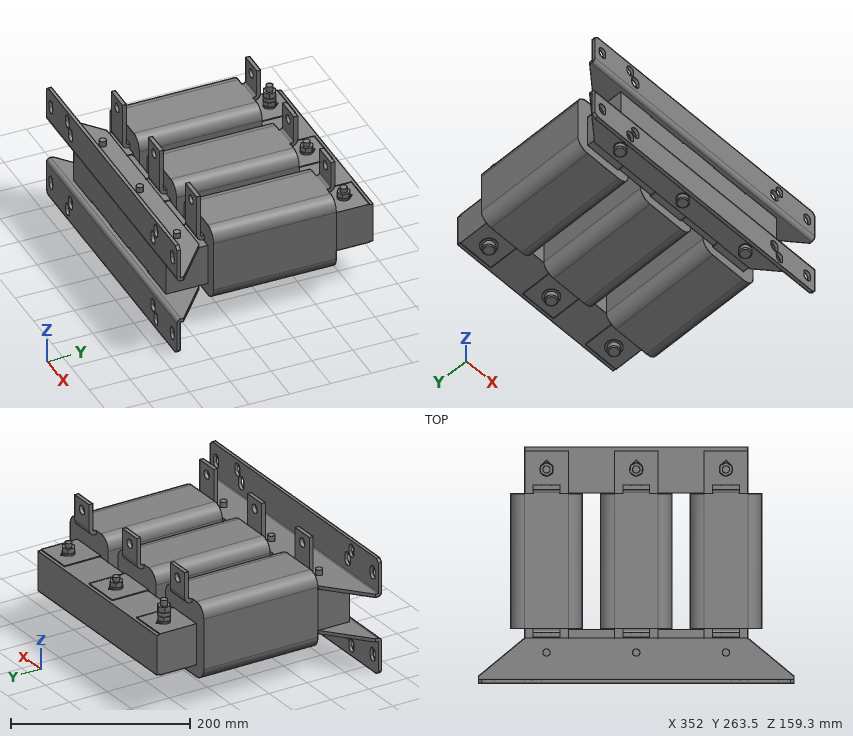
import cadquery as cq
import math


leg_pitch = 100.0
leg_width = 49.0
core_width = 2 * leg_pitch + leg_width
core_height = 49.3
core_front = 10.0
core_back = 263.5
window_front = 60.2
window_back = 212.3
leg_positions = (-leg_pitch, 0, leg_pitch)

strip_thickness = 1.0
strip_back = 259.5
clamp_height = core_height / 2 + strip_thickness

coil_front = 61.2
coil_back = 211.5
coil_width = 80.0
coil_radius = (coil_width - leg_width) / 2
coil_top = 53.0
coil_bottom = -40.5

terminal_width = 30.0
terminal_thickness = 5.0
terminal_bend = 3.0
terminal_top = 87.5
terminal_front = 51.7
terminal_back = 221.0
front_tail_bottom = 27.8
terminal_hole_diameter = 11.0
terminal_hole_drop = 12.5

bracket_length = 352
bracket_thickness = 4.2
bracket_bend = 1.0
bracket_reach = 50.7
bracket_end = 71.8
taper_front = 8.0
flange_chamfer = 4.2
flange_slots = (
    (163.7, 51.0, 10.0, 16.2),
    (119.5, 59.0, 10.0, 15.5),
    (111.2, 45.8, 11.0, 16.2),
)

rod_diameter = 8.0
front_bolt_y = 34.5
front_rod_top = 36.5
back_bolt_y = 238.5
long_rod_top = coil_top
short_rod_top = 39.5
head_diameter = 15.5
head_height = 8.0
head_washer_diameter = 13.5
head_washer_thickness = 1.8
head_chamfer = 1.5
back_washer_diameter = 20.8
back_washer_thickness = 1.0

washer_diameter = 14.8
nut_across_corners = 15.5
tab_thickness = 0.5
lower_nut_bottom = 2.5
lower_nut_top = 8.5
upper_nut_bottom = 13.5
upper_nut_top = 20.5
lower_nut_turn = 25
upper_nut_turn = 35


def block(width, y_front, y_back, z_bottom, z_top, x=0):
    """Box centred on x and given by its limits along Y and Z."""
    size = (width, y_back - y_front, z_top - z_bottom)
    corner = (x - width / 2, y_front, z_bottom)
    return cq.Workplane("XY").box(*size, centered=False).translate(corner)


def disc(x, y, diameter, z_bottom, z_top):
    """Upright cylinder between two heights."""
    plane = cq.Workplane("XY", origin=(x, y, z_bottom))
    return plane.circle(diameter / 2).extrude(z_top - z_bottom)


def hex_nut(x, y, z_bottom, z_top, turn):
    """Hexagonal nut, turned about its axis by an angle in degrees."""
    plane = cq.Workplane("XY", origin=(x, y, z_bottom))
    nut = plane.polygon(6, nut_across_corners).extrude(z_top - z_bottom)
    return nut.rotate((x, y, 0), (x, y, 1), turn)


def angle_bar(width, tail_y, outer_y, tail_z, end_z, thickness, inner_radius, x=0):
    """Bent bar: a tail along Y from tail_y, turned up or down at outer_y to end_z.

    tail_z is the outer face of the tail, outer_y the outer face of the upright.
    """
    along = math.copysign(1, tail_y - outer_y)
    up = math.copysign(1, end_z - tail_z)
    outer = inner_radius + thickness
    arc = math.sqrt(0.5)
    bend_y = outer_y + along * outer
    bend_z = tail_z + up * outer
    profile = (
        cq.Workplane("YZ", origin=(x - width / 2, 0, 0))
        .moveTo(tail_y, tail_z)
        .lineTo(bend_y, tail_z)
        .threePointArc(
            (bend_y - along * outer * arc, bend_z - up * outer * arc),
            (outer_y, bend_z),
        )
        .lineTo(outer_y, end_z)
        .lineTo(outer_y + along * thickness, end_z)
        .lineTo(outer_y + along * thickness, bend_z)
        .threePointArc(
            (bend_y - along * inner_radius * arc, bend_z - up * inner_radius * arc),
            (bend_y, tail_z + up * thickness),
        )
        .lineTo(tail_y, tail_z + up * thickness)
        .close()
    )
    return profile.extrude(width)


def make_core():
    half = core_height / 2
    core = block(core_width, core_front, core_back, -half, half)
    window_width = leg_pitch - leg_width
    for x in (-leg_pitch / 2, leg_pitch / 2):
        core = core.cut(block(window_width, window_front, window_back, -half, half, x))
    for x in leg_positions:
        core = core.union(
            block(leg_width, core_front, strip_back, -clamp_height, clamp_height, x)
        )
    return core


def make_coil(x):
    coil = block(coil_width, coil_front, coil_back, coil_bottom, coil_top, x)
    return coil.edges("|Y").fillet(coil_radius)


def make_terminal(x, tail_y, outer_y, tail_bottom):
    bar = angle_bar(
        terminal_width, tail_y, outer_y, tail_bottom, terminal_top,
        terminal_thickness, terminal_bend, x,
    )
    hole = (
        cq.Workplane("XZ", origin=(x, outer_y, terminal_top - terminal_hole_drop))
        .circle(terminal_hole_diameter / 2)
        .extrude(2 * terminal_thickness, both=True)
    )
    return bar.cut(hole)


def make_bracket(side):
    """Bracket above (side = 1) or below (side = -1) the front yoke."""
    bracket = angle_bar(
        bracket_length, bracket_reach, 0, side * clamp_height, side * bracket_end,
        bracket_thickness, bracket_bend,
    )
    corner_face = ">Z" if side > 0 else "<Z"
    bracket = bracket.faces(corner_face).edges("|Y").chamfer(flange_chamfer)
    for end in (-1, 1):
        taper = (
            cq.Workplane("XY", origin=(0, 0, -bracket_end))
            .moveTo(end * bracket_length / 2, taper_front)
            .lineTo(end * core_width / 2, bracket_reach)
            .lineTo(end * bracket_length / 2, bracket_reach)
            .close()
            .extrude(2 * bracket_end)
        )
        bracket = bracket.cut(taper)
    for offset, height, width, length in flange_slots:
        slots = (
            cq.Workplane("XZ")
            .pushPoints([(-offset, side * height), (offset, side * height)])
            .slot2D(length, width, 90)
            .extrude(-bracket_thickness)
        )
        bracket = bracket.cut(slots)
    return bracket


def make_head(x, y, z_top):
    """Round bolt head hanging below z_top, chamfered at its lower rim."""
    head = disc(x, y, head_diameter, z_top - head_height, z_top)
    return head.faces("<Z").chamfer(head_chamfer)


def make_front_bolt(x):
    seat = -clamp_height - bracket_thickness
    head_top = seat - head_washer_thickness
    bolt = disc(x, front_bolt_y, rod_diameter, seat, front_rod_top)
    bolt = bolt.union(disc(x, front_bolt_y, head_washer_diameter, head_top, seat))
    return bolt.union(make_head(x, front_bolt_y, head_top))


def make_tab_washer(x, y, z):
    """Thin washer whose rim is drawn out to a square point at the back."""
    radius = washer_diameter / 2
    tangent = radius * math.sqrt(0.5)
    return (
        cq.Workplane("XY", origin=(x, y, z))
        .moveTo(-tangent, tangent)
        .threePointArc((0, -radius), (tangent, tangent))
        .lineTo(0, 2 * tangent)
        .close()
        .extrude(tab_thickness)
    )


def make_back_bolt(x, rod_top):
    """Bolt through the back yoke, held by a washer and a nut."""
    y = back_bolt_y
    seat = clamp_height
    head_top = -clamp_height - back_washer_thickness
    bolt = disc(x, y, rod_diameter, -clamp_height, rod_top)
    bolt = bolt.union(disc(x, y, back_washer_diameter, head_top, -clamp_height))
    bolt = bolt.union(make_head(x, y, head_top))
    bolt = bolt.union(make_tab_washer(x, y, seat))
    bolt = bolt.union(disc(x, y, washer_diameter, seat, seat + lower_nut_bottom))
    return bolt.union(
        hex_nut(x, y, seat + lower_nut_bottom, seat + lower_nut_top, lower_nut_turn)
    )


def make_upper_nut(x):
    """Second washer and nut, stacked on the lower nut of the long bolt."""
    y = back_bolt_y
    nut_bottom = clamp_height + upper_nut_bottom
    nut_top = clamp_height + upper_nut_top
    washer = disc(x, y, washer_diameter, clamp_height + lower_nut_top, nut_bottom)
    return washer.union(hex_nut(x, y, nut_bottom, nut_top, upper_nut_turn))


result = make_core()
for leg_x in leg_positions:
    result = result.union(make_coil(leg_x))
    result = result.union(
        make_terminal(leg_x, coil_front, terminal_front, front_tail_bottom)
    )
    result = result.union(
        make_terminal(leg_x, coil_back, terminal_back, coil_top - terminal_thickness)
    )
for bracket_side in (-1, 1):
    result = result.union(make_bracket(bracket_side))
for leg_x in leg_positions:
    result = result.union(make_front_bolt(leg_x))

long_bolt_x, *short_bolt_positions = leg_positions
result = result.union(make_back_bolt(long_bolt_x, long_rod_top))
result = result.union(make_upper_nut(long_bolt_x))
for leg_x in short_bolt_positions:
    result = result.union(make_back_bolt(leg_x, short_rod_top))